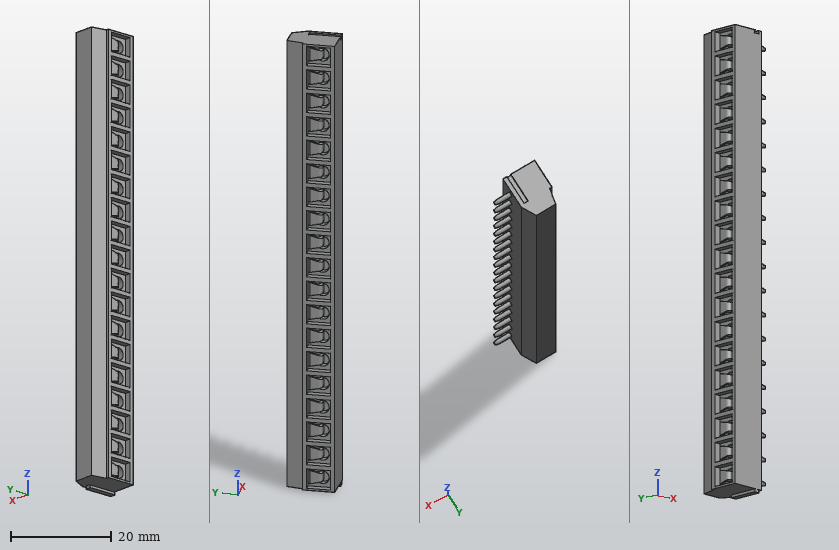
import cadquery as cq
import math

TOTAL_HEIGHT = 95.7
TONGUE_LENGTH = 0.7
BODY_HEIGHT = TOTAL_HEIGHT - TONGUE_LENGTH
POLE_COUNT = 19
PITCH = BODY_HEIGHT / POLE_COUNT

BODY_WIDTH = 7.5
BODY_DEPTH = 10.0
STEP_Y = 6.6
STEP_WIDTH = 0.6
TOP_START_X = 1.2
TOP_END_X = 5.8
BACK_SLOPE_Y = 7.0

DOVETAIL_X = 6.1
DOVETAIL_NECK = 0.9
DOVETAIL_WIDTH = 1.3
DOVETAIL_END_Y = STEP_Y

POCKET_START_Y = 0.9
POCKET_END_Y = 5.7
POCKET_HEIGHT = 4.1
POCKET_DEPTH = 1.4

HOLE_Y = 2.8
HOLE_RADIUS = 1.3
HOLE_DEPTH = 1.4

LEVER_RISE = 0.5
LEVER_CHAMFER = LEVER_RISE
LEVER_NOSE_RADIUS = 0.7
LEVER_NOSE_WIDTH = 1.7
LEVER_TAIL_WIDTH = 3.1

PIN_Y = 2.9
PIN_DIAMETER = 1.1
PIN_LENGTH = 3.7
PIN_TIP_LENGTH = 0.9
PIN_TIP_DIAMETER = 0.7
PIN_EMBED = 0.5


def pole_height(index):
    """Z of the middle of one terminal."""
    return TONGUE_LENGTH + (index + 0.5) * PITCH


def make_housing():
    outline = [
        (0, 0),
        (BODY_WIDTH, 0),
        (BODY_WIDTH, BACK_SLOPE_Y),
        (TOP_END_X, BODY_DEPTH),
        (TOP_START_X, BODY_DEPTH),
        (STEP_WIDTH, STEP_Y),
        (0, STEP_Y),
    ]
    floor = cq.Workplane("XY").workplane(offset=TONGUE_LENGTH)
    return floor.polyline(outline).close().extrude(BODY_HEIGHT)


def make_dovetail(root_z):
    """Dovetail bar that widens downward from its neck at root_z."""
    tip_z = root_z - TONGUE_LENGTH
    section = [
        (DOVETAIL_X - DOVETAIL_NECK / 2, root_z),
        (DOVETAIL_X + DOVETAIL_NECK / 2, root_z),
        (DOVETAIL_X + DOVETAIL_WIDTH / 2, tip_z),
        (DOVETAIL_X - DOVETAIL_WIDTH / 2, tip_z),
    ]
    return cq.Workplane("XZ").polyline(section).close().extrude(-DOVETAIL_END_Y)


def make_lever():
    """Lever from the bottom of the screw hole up to its face, centred on Z = 0."""
    face_x = POCKET_DEPTH - LEVER_RISE
    base_x = POCKET_DEPTH + HOLE_DEPTH
    arc_inset = LEVER_NOSE_RADIUS * (1 - math.sqrt(0.5))
    side_profile = (
        cq.Workplane("XY")
        .moveTo(base_x, HOLE_Y)
        .lineTo(face_x + LEVER_NOSE_RADIUS, HOLE_Y)
        .threePointArc((face_x + arc_inset, HOLE_Y + arc_inset), (face_x, HOLE_Y + LEVER_NOSE_RADIUS))
        .lineTo(face_x, POCKET_END_Y - LEVER_CHAMFER)
        .lineTo(face_x + LEVER_CHAMFER, POCKET_END_Y)
        .lineTo(base_x, POCKET_END_Y)
        .close()
        .extrude(LEVER_TAIL_WIDTH / 2, both=True)
    )
    taper_outline = [
        (HOLE_Y, -LEVER_NOSE_WIDTH / 2),
        (POCKET_END_Y, -LEVER_TAIL_WIDTH / 2),
        (POCKET_END_Y, LEVER_TAIL_WIDTH / 2),
        (HOLE_Y, LEVER_NOSE_WIDTH / 2),
    ]
    taper = cq.Workplane("YZ").polyline(taper_outline).close().extrude(base_x)
    return side_profile.intersect(taper)


def make_opening():
    """Everything removed for one terminal, centred on Z = 0: pocket and screw hole around the lever."""
    pocket_width = POCKET_END_Y - POCKET_START_Y
    pocket = (
        cq.Workplane("YZ")
        .center(POCKET_START_Y + pocket_width / 2, 0)
        .rect(pocket_width, POCKET_HEIGHT)
        .extrude(POCKET_DEPTH)
    )
    hole = cq.Workplane("YZ").center(HOLE_Y, 0).circle(HOLE_RADIUS).extrude(POCKET_DEPTH + HOLE_DEPTH)
    return pocket.union(hole).cut(make_lever())


def make_pin():
    """Round pin with a tapered tip, on Z = 0."""
    shank_end_x = BODY_WIDTH + PIN_LENGTH - PIN_TIP_LENGTH
    profile = [
        (BODY_WIDTH - PIN_EMBED, 0),
        (BODY_WIDTH - PIN_EMBED, PIN_DIAMETER / 2),
        (shank_end_x, PIN_DIAMETER / 2),
        (BODY_WIDTH + PIN_LENGTH, PIN_TIP_DIAMETER / 2),
        (BODY_WIDTH + PIN_LENGTH, 0),
    ]
    pin = cq.Workplane("XY").polyline(profile).close().revolve(360, (0, 0, 0), (1, 0, 0))
    return pin.translate((0, PIN_Y, 0))


opening = make_opening()
pin = make_pin()

result = make_housing().cut(make_dovetail(TOTAL_HEIGHT)).union(make_dovetail(TONGUE_LENGTH))
for index in range(POLE_COUNT):
    place = (0, 0, pole_height(index))
    result = result.cut(opening.translate(place)).union(pin.translate(place))